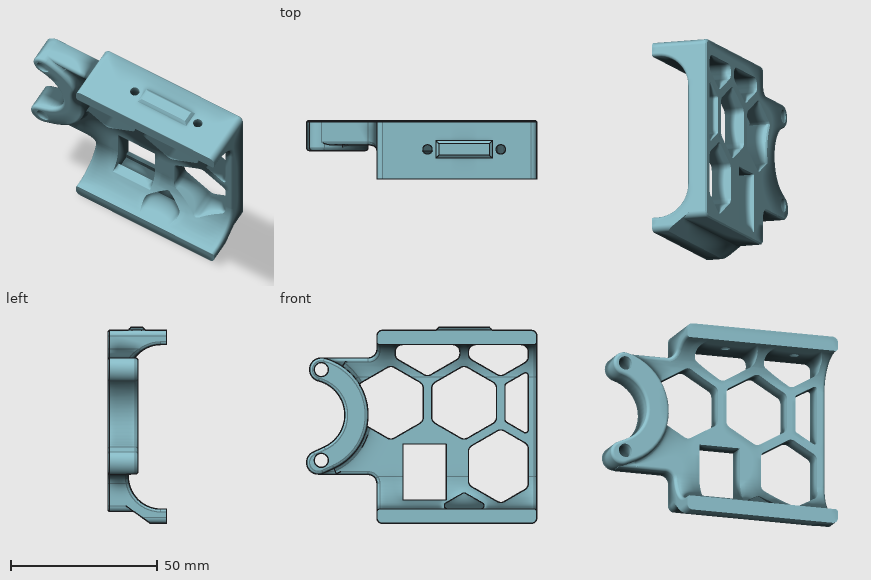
import cadquery as cq
import math

total_depth = 20.0
body_left = 24.0
body_right = 78.65
body_height = 66.0
flange_thickness = 4.95
flange_lip = 2.0
inner_radius = 11.0
body_corner_radius = 2.0
step_height = 4.0
step_front = 5.5
step_back = 11.1
wall_front = flange_lip + inner_radius
lower_curve_z = flange_thickness + inner_radius
upper_flange_z = body_height - flange_thickness
upper_curve_z = upper_flange_z - inner_radius

hook_x = 1.0
hook_z = 37.05
bolt_offset_x = 4.0
bolt_offset_z = 15.5
bolt_diameter = 4.7
lobe_radius = 4.0
hook_front = 9.7
hook_radius = math.hypot(bolt_offset_x, bolt_offset_z)
hook_tail_angle = 65.5
hook_tail_length = 4.0
hook_root_radius = 1.0
hook_root_top_angle = 56
web_top = hook_z + bolt_offset_z + lobe_radius
web_bottom = 16.7
web_corner_radius = 3.0

front_edge_radius = 1.0
back_chamfer = 0.5

cell_inradius = 11.0
rib = 3.0
cell_x = 53.8
cell_z = 41.2
cell_pitch = 2 * cell_inradius + rib
row_pitch = cell_pitch * math.sqrt(3) / 2
cell_corner_radius = 2.35
narrow_corner_radius = 0.95
recess_corner_radius = 1.1
recess_back = 11.95

window_left = 32.95
window_width = 14.7
window_bottom = 8.1
window_height = 18.95
groove_front = 13.4
groove_back = 18.5
latch_height = 2.0

key_length = 19.3
key_width = 6.0
key_height = 1.0
key_taper = 45
pin_diameter = 3.2
key_y = 10.15


def block(x0, x1, y0, y1, z0, z1):
    return cq.Workplane("XY").box(x1 - x0, y1 - y0, z1 - z0, centered=False).translate((x0, y0, z0))


def front_plane(y):
    """Workplane with X right and Z up; negative extrusions run toward +Y."""
    return cq.Workplane(cq.Plane(origin=(0, y, 0), xDir=(1, 0, 0), normal=(0, -1, 0)))


def channel_space():
    """The hollow in front of the wall, between the flanges."""
    return (
        cq.Workplane("YZ", origin=(-body_right, 0, 0))
        .moveTo(-0.8, flange_thickness)
        .lineTo(flange_lip, flange_thickness)
        .radiusArc((wall_front, lower_curve_z), -inner_radius)
        .lineTo(wall_front, upper_curve_z)
        .radiusArc((flange_lip, upper_flange_z), -inner_radius)
        .lineTo(-0.8, upper_flange_z)
        .close()
        .extrude(2 * body_right + 0.8)
    )


def rounded_block(bottom):
    """Full-depth block from the given height to the top, with its long edges rounded."""
    shape = block(body_left, body_right, 0, total_depth, bottom, body_height)
    return shape.edges("|Y").fillet(body_corner_radius)


def outer_body():
    slope = (step_back - step_front) / step_height
    slope_top = step_height + body_corner_radius
    front_profile = [
        (0, 0),
        (step_front, 0),
        (step_front + slope * slope_top, slope_top),
        (step_front + slope * slope_top, body_height),
        (0, body_height),
    ]
    front_part = cq.Workplane("YZ").polyline(front_profile).close().extrude(body_right)
    return rounded_block(0).intersect(front_part).union(rounded_block(step_height))


tail = math.radians(hook_tail_angle)
tail_along = (-math.sin(tail), -math.cos(tail))
tail_out = (math.cos(tail), -math.sin(tail))


def from_hook(radius, slide=0.0):
    """Point on the lower tail: a radius from the hook center, slid along the tail."""
    return (
        hook_x + radius * tail_out[0] + slide * tail_along[0],
        hook_z + radius * tail_out[1] + slide * tail_along[1],
    )


def hook():
    inner = hook_radius - lobe_radius
    outer = hook_radius + lobe_radius
    bolt_dir = (bolt_offset_x / hook_radius, bolt_offset_z / hook_radius)
    upper_inner = (hook_x + inner * bolt_dir[0], hook_z + inner * bolt_dir[1])
    upper_outer = (hook_x + outer * bolt_dir[0], hook_z + outer * bolt_dir[1])
    upper_tip = (
        hook_x + bolt_offset_x - lobe_radius * bolt_dir[1],
        hook_z + bolt_offset_z + lobe_radius * bolt_dir[0],
    )
    shape = (
        front_plane(hook_front)
        .moveTo(*upper_outer)
        .threePointArc((hook_x + outer, hook_z), from_hook(outer))
        .lineTo(*from_hook(outer, hook_tail_length))
        .threePointArc(from_hook(hook_radius, hook_tail_length + lobe_radius), from_hook(inner, hook_tail_length))
        .lineTo(*from_hook(inner))
        .threePointArc((hook_x + inner, hook_z), upper_inner)
        .threePointArc(upper_tip, upper_outer)
        .close()
        .extrude(-(total_depth - hook_front))
    )
    return shape.faces("<Y").edges().fillet(front_edge_radius)


def web():
    tail_x = from_hook(hook_radius, hook_tail_length)[0]
    return (
        front_plane(0)
        .polyline([
            (hook_x + bolt_offset_x, web_top),
            (body_left + 0.8, web_top),
            (body_left + 0.8, web_bottom),
            (tail_x, web_bottom),
        ])
        .close()
        .extrude(-total_depth)
        .cut(front_plane(0).center(hook_x, hook_z).circle(hook_radius).extrude(-total_depth))
    )


def frame():
    """Body and web, hollowed, with rounded front edges along both ends."""
    shape = outer_body().union(web())
    web_joint = cq.selectors.BoxSelector(
        (body_left - 0.1, 0, lower_curve_z),
        (body_left + 0.1, total_depth, upper_flange_z),
    )
    shape = shape.edges("|Y").edges(web_joint).fillet(web_corner_radius)
    shape = shape.cut(channel_space())
    margin = 0.1
    lower_left = cq.selectors.BoxSelector(
        (9.4, 0.4, flange_thickness - margin), (body_left + margin, wall_front + margin, 17.3)
    )
    upper_left = cq.selectors.BoxSelector(
        (9.4, 0.4, 51.9), (body_left + margin, wall_front + margin, upper_flange_z + margin)
    )
    right = cq.selectors.BoxSelector(
        (body_right - margin, 0.4, flange_thickness - margin),
        (body_right + margin, wall_front + margin, upper_flange_z + margin),
    )
    return shape.edges(lower_left + upper_left + right).fillet(front_edge_radius)


def cell(column, row, corner_radius):
    """One honeycomb opening, trimmed to the flanges and to a rib at the right end."""
    x = cell_x + column * cell_pitch
    z = cell_z + row * row_pitch
    corner = cell_inradius / math.cos(math.radians(30))
    points = [
        (x + corner * math.sin(math.radians(60 * k)), z + corner * math.cos(math.radians(60 * k)))
        for k in range(6)
    ]
    prism = front_plane(0).polyline(points).close().extrude(-total_depth)
    trim = block(0, body_right - rib, 0, total_depth, flange_thickness, upper_flange_z)
    return prism.intersect(trim).edges("|Y").fillet(corner_radius)


def window():
    right = window_left + window_width
    opening = block(window_left, right, 0, total_depth, window_bottom, window_bottom + window_height)
    groove = block(window_left, right, groove_front, groove_back, flange_thickness, window_bottom)
    latch_gap = block(
        window_left, right, groove_front, total_depth, flange_thickness + latch_height, window_bottom
    )
    return opening.union(groove).union(latch_gap)


def key():
    return (
        cq.Workplane("XY", origin=(cell_x, key_y, body_height))
        .rect(key_length, key_width)
        .extrude(key_height, taper=key_taper)
    )


def hook_root():
    """Concave skirt that blends the outer side of the hook into the front of the wall."""
    outer = hook_radius + lobe_radius
    reach = 2 * outer
    wall = block(hook_x - reach, hook_x + reach, 0, total_depth, step_height, upper_flange_z - 0.8)
    wall = wall.cut(channel_space())
    disc = front_plane(hook_front).center(hook_x, hook_z).circle(outer).extrude(hook_front - total_depth)
    disc_joint = cq.selectors.BoxSelector(
        (hook_x - outer, wall_front - 1.6, hook_z - outer + 0.8), (hook_x + outer, wall_front + 0.1, hook_z + outer)
    )
    blended = wall.union(disc).edges(disc_joint).fillet(hook_root_radius)
    top = math.radians(hook_root_top_angle)
    sector = (
        front_plane(hook_front + front_edge_radius)
        .polyline([
            (hook_x, hook_z),
            from_hook(reach),
            (hook_x + reach, hook_z),
            (hook_x + reach * math.cos(top), hook_z + reach * math.sin(top)),
        ])
        .close()
        .extrude(hook_front + front_edge_radius - total_depth)
    )
    ring = (
        front_plane(0)
        .center(hook_x, hook_z)
        .circle(outer + 2 * hook_root_radius)
        .circle(hook_radius)
        .extrude(-total_depth)
    )
    return blended.intersect(sector).intersect(ring)


def chamfer_back(shape):
    return shape.faces(">Y").edges().chamfer(back_chamfer)


result = chamfer_back(frame()).union(hook_root())

for column, row, corner_radius in [
    (-1, 0, cell_corner_radius),
    (0, 0, cell_corner_radius),
    (1, 0, narrow_corner_radius),
    (-0.5, 1, cell_corner_radius),
    (0.5, 1, cell_corner_radius),
    (0.5, -1, cell_corner_radius),
]:
    result = result.cut(cell(column, row, corner_radius))

result = result.union(chamfer_back(hook()))

recess_limit = block(0, body_right, 0, recess_back, 0, body_height)
result = result.cut(cell(0, -2, recess_corner_radius).intersect(recess_limit))

result = result.cut(window()).union(key())

for side in (-1, 1):
    pin_hole = (
        cq.Workplane("XY", origin=(cell_x + side * cell_pitch / 2, key_y, upper_curve_z))
        .circle(pin_diameter / 2)
        .extrude(body_height - upper_curve_z)
    )
    result = result.cut(pin_hole)

for side in (-1, 1):
    bolt_hole = (
        front_plane(0)
        .center(hook_x + bolt_offset_x, hook_z + side * bolt_offset_z)
        .circle(bolt_diameter / 2)
        .extrude(-total_depth)
    )
    result = result.cut(bolt_hole)